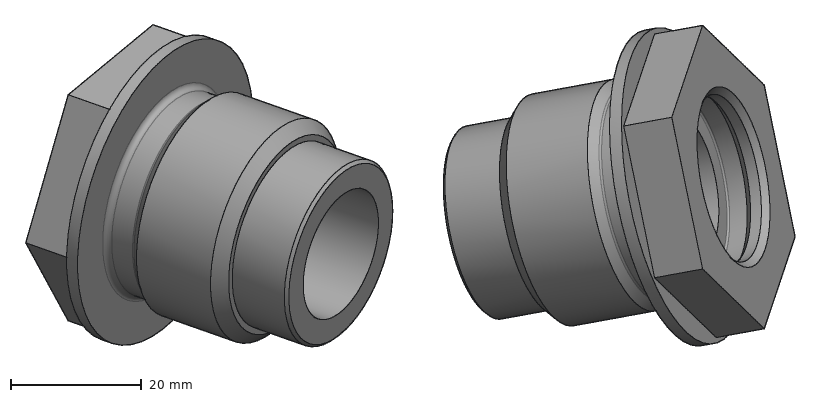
import cadquery as cq
import math

HEX_LENGTH = 8.0
FLANGE_END = HEX_LENGTH + 2.0
NECK_END = FLANGE_END + 5.0
BODY_END = 32.0
TOTAL_LENGTH = 42.0

HEX_ACROSS_FLATS = 41.0
FLANGE_RADIUS = 49.0 / 2
NECK_RADIUS = 33.0 / 2
BODY_RADIUS = 36.0 / 2
SPIGOT_RADIUS = 30.0 / 2
FLANGE_FILLET = 1.0
SHOULDER_FILLET = 0.5
BODY_END_CHAMFER = 2.0
SPIGOT_CHAMFER = 0.5

BORE_RADIUS = 21.0 / 2
SOCKET_RADIUS = 26.0 / 2
MOUTH_CHAMFER = 1.0
GROOVE_START = 2.8
GROOVE_RADIUS = 28.0 / 2
GROOVE_FILLET = 0.3
SOCKET_DEPTH = 7.0

SELECTION_MARGIN = 0.01


def revolve_about_x(profile):
    """Revolve a closed half profile in the XY plane about the X axis."""
    return cq.Workplane("XY").polyline(profile).close().revolve(360, (0, 0, 0), (1, 0, 0))


def box_about_axis(station, radius):
    """Selector for edges lying wholly within a thin square slab centered on the X axis."""
    low = (station - SELECTION_MARGIN, -radius, -radius)
    high = (station + SELECTION_MARGIN, radius, radius)
    return cq.selectors.BoxSelector(low, high, boundingbox=True)


def circle_at(station, radius):
    """Selector for the circular edge of the given radius at a station along X."""
    outer_box = box_about_axis(station, radius + SELECTION_MARGIN)
    inner_box = box_about_axis(station, radius - SELECTION_MARGIN)
    return outer_box - inner_box


def hexagon_head():
    """Hexagon with two corners on the Y axis and flats facing up and down."""
    across_corners = HEX_ACROSS_FLATS / math.cos(math.pi / 6)
    return cq.Workplane("YZ").polygon(6, across_corners).extrude(HEX_LENGTH)


def turned_body():
    """Flange, filleted neck, chamfered body and spigot."""
    shoulder_height = BODY_RADIUS - NECK_RADIUS
    profile = [
        (HEX_LENGTH, 0),
        (HEX_LENGTH, FLANGE_RADIUS),
        (FLANGE_END, FLANGE_RADIUS),
        (FLANGE_END, NECK_RADIUS),
        (NECK_END, NECK_RADIUS),
        (NECK_END + shoulder_height, BODY_RADIUS),
        (BODY_END - BODY_END_CHAMFER, BODY_RADIUS),
        (BODY_END, BODY_RADIUS - BODY_END_CHAMFER),
        (BODY_END, SPIGOT_RADIUS),
        (TOTAL_LENGTH - SPIGOT_CHAMFER, SPIGOT_RADIUS),
        (TOTAL_LENGTH, SPIGOT_RADIUS - SPIGOT_CHAMFER),
        (TOTAL_LENGTH, 0),
    ]
    body = revolve_about_x(profile)
    body = body.edges(circle_at(FLANGE_END, NECK_RADIUS)).fillet(FLANGE_FILLET)
    return body.edges(circle_at(NECK_END, NECK_RADIUS)).fillet(SHOULDER_FILLET)


def stepped_bore():
    """Through bore, and a chamfered socket with a wider groove at its floor."""
    groove_full_depth = GROOVE_START + GROOVE_RADIUS - SOCKET_RADIUS
    profile = [
        (0, 0),
        (0, SOCKET_RADIUS + MOUTH_CHAMFER),
        (MOUTH_CHAMFER, SOCKET_RADIUS),
        (GROOVE_START, SOCKET_RADIUS),
        (groove_full_depth, GROOVE_RADIUS),
        (SOCKET_DEPTH, GROOVE_RADIUS),
        (SOCKET_DEPTH, BORE_RADIUS),
        (TOTAL_LENGTH, BORE_RADIUS),
        (TOTAL_LENGTH, 0),
    ]
    bore = revolve_about_x(profile)
    return bore.edges(circle_at(SOCKET_DEPTH, GROOVE_RADIUS)).fillet(GROOVE_FILLET)


result = hexagon_head().union(turned_body()).cut(stepped_bore())